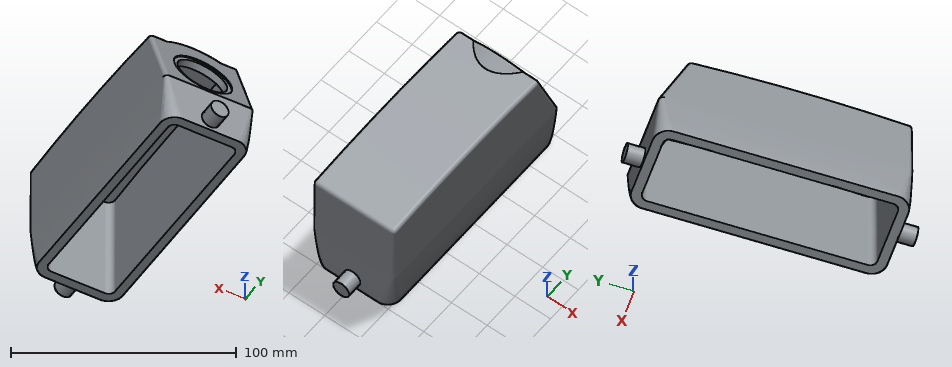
import cadquery as cq
import math

width = 45.5
pin_span = 136.0
end_y = 59.8
shoulder_y = 59.5
shoulder_z = 23.4
rim_z = 0.0
wall = 4.4
edge_radius = 1.9
cavity_corner_radius = 3.4

roof_back_y = 45.4
roof_front_y = -59.2
roof_end_z = 59.0
roof_peak_z = 61.2

skirt_sections = [
    (rim_z, 21.5, end_y, 7.3),
    (7.1, 22.2, end_y, 5.2),
    (shoulder_z, width / 2, shoulder_y, edge_radius),
]

entry_y = 53.5
entry_radius = 12.5
seat_radius = 14.7
seat_depth = 0.7
collar_top_z = 62.5
collar_length = 12.9
collar_half_width = 14.1
collar_edge_radius = 1.1

pin_radius = 4.5
pin_z = 6.3

slope_run = shoulder_y - roof_back_y
slope_rise = roof_end_z - shoulder_z
slope_length = math.hypot(slope_run, slope_rise)
slope_cos = slope_rise / slope_length
entry_z = shoulder_z + (shoulder_y - entry_y) * slope_rise / slope_run


def side_profile(bottom_z):
    """Side outline in the YZ plane, flat at bottom_z and arched on top."""
    return (
        cq.Workplane("YZ")
        .moveTo(-shoulder_y, bottom_z)
        .lineTo(shoulder_y, bottom_z)
        .lineTo(shoulder_y, shoulder_z)
        .lineTo(roof_back_y, roof_end_z)
        .threePointArc(((roof_back_y + roof_front_y) / 2, roof_peak_z), (roof_front_y, roof_end_z))
        .lineTo(-shoulder_y, shoulder_z)
        .close()
    )


def rounded_section(z, half_width, half_length, radius):
    """Rounded rectangle at height z."""
    sketch = cq.Sketch().rect(2 * half_width, 2 * half_length).vertices().fillet(radius)
    return sketch.moved(cq.Location(cq.Vector(0, 0, z)))


def make_skirt():
    """Lower part whose corners open out towards the rim."""
    sections = [rounded_section(*section) for section in skirt_sections]
    return cq.Workplane("XY").placeSketch(*sections).loft()


def make_upper():
    """Upper part with rounded edges everywhere except at the shoulder."""
    block = side_profile(rim_z).extrude(width / 2, both=True)
    block = block.edges("not(<Z)").fillet(edge_radius)
    return block.copyWorkplane(cq.Workplane("XY", origin=(0, 0, shoulder_z))).split(keepTop=True)


def make_cavity():
    """Space open at the rim, one wall inside the side outline."""
    half_width = skirt_sections[0][1] - wall
    space = side_profile(-2 * wall).offset2D(-wall, "intersection").extrude(half_width, both=True)
    return space.edges("|Z and <Y or |Z and >Y").fillet(cavity_corner_radius)


entry_plane = cq.Plane(
    origin=(0, entry_y, entry_z),
    xDir=(-1, 0, 0),
    normal=(0, slope_rise, slope_run),
)


def make_collar():
    """Segment of a disc concentric with the entry that rises above the roof."""
    rounded_rise = collar_edge_radius * (1 - slope_run / slope_length)
    radius = (collar_top_z - entry_z - rounded_rise) / slope_cos + collar_edge_radius
    disc = cq.Workplane(entry_plane).circle(radius).extrude(-collar_length)
    disc = disc.edges(">Y").fillet(collar_edge_radius)
    clip = (
        cq.Workplane(entry_plane)
        .center(0, radius)
        .rect(2 * collar_half_width, radius)
        .extrude(-collar_length)
    )
    return disc.intersect(clip)


def make_entry():
    """Through hole in the sloped wall with a shallow seat."""
    hole = cq.Workplane(entry_plane).circle(entry_radius).extrude(-2 * wall)
    seat = cq.Workplane(entry_plane).circle(seat_radius).extrude(-seat_depth)
    return hole.union(seat)


def make_pin(side):
    """Locking pin on one end wall; side is +1 or -1 along Y."""
    length = pin_span / 2 - end_y + wall / 2
    return (
        cq.Workplane("XZ", origin=(0, side * pin_span / 2, pin_z))
        .circle(pin_radius)
        .extrude(side * length)
    )


result = make_skirt().union(make_upper()).union(make_collar())
result = result.cut(make_cavity()).cut(make_entry())
for end in (1, -1):
    result = result.union(make_pin(end))